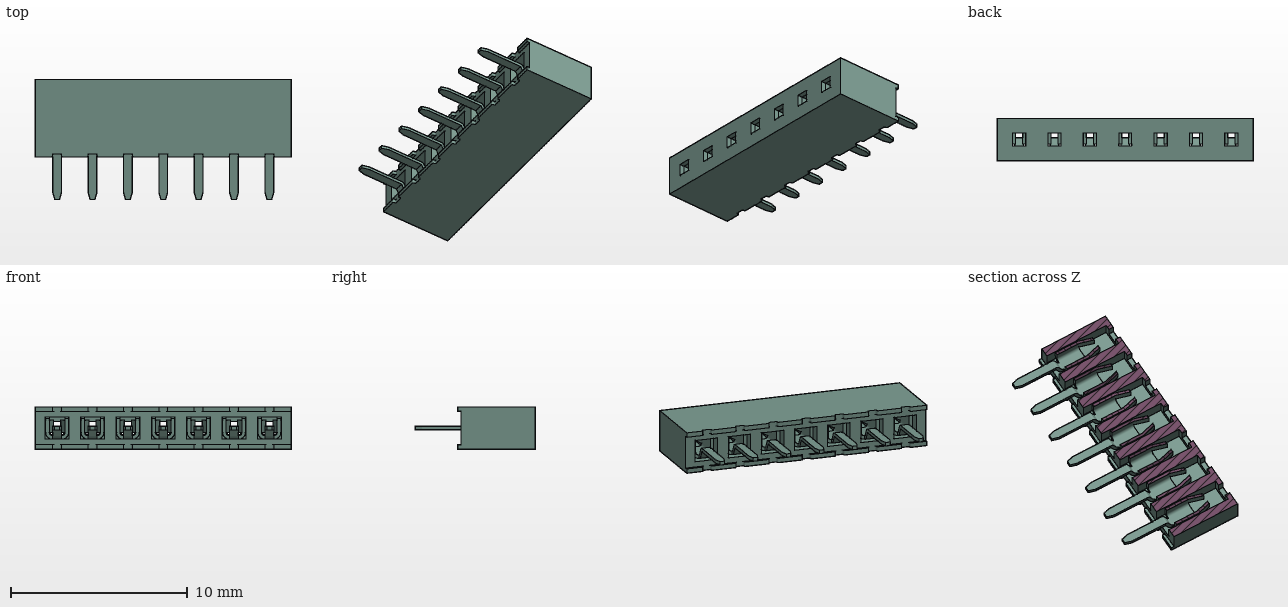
import cadquery as cq
import math


contact_count = 7
pitch = 2.0

housing_length = 14.5
housing_height = 2.4
housing_depth = 4.22
rail_depth = 0.17
rail_thickness = 0.26
notch_floor_width = 0.38
notch_radius = 0.065
cavity_width = 1.35
cavity_height = 1.26
end_wall = 0.3
entry_size = 0.72

sheet = 0.2
channel_gap = 0.03
channel_start = 0.54
channel_length = 1.45
channel_chamfer = 0.09
channel_bend_radius = 0.38
arm_length = 0.87
arm_tip_gap = 0.39
arm_top = 0.45
tail_width = 0.51
tail_reach = 2.58
tail_tip_width = 0.28
tail_taper = 0.4
tail_bend_radius = 0.33
tail_tilt = math.radians(28)

cavity_floor = -cavity_height / 2
cavity_depth = housing_depth - end_wall
channel_half = cavity_width / 2 - channel_gap
channel_inner_half = channel_half - sheet
channel_end = channel_start + channel_length


def notch_outline():
    """Plan of a rail notch: each side is an S of a concave and a convex round."""
    arc_mid = notch_radius * math.sqrt(0.5)
    floor_half = notch_floor_width / 2
    side = floor_half + notch_radius
    mouth_half = side + notch_radius
    turn = rail_depth - notch_radius
    floor_mid = (floor_half + arc_mid, -notch_radius + arc_mid)
    mouth_mid = (mouth_half - arc_mid, -turn - arc_mid)
    return (
        cq.Workplane("XY")
        .moveTo(-floor_half, 0)
        .lineTo(floor_half, 0)
        .threePointArc(floor_mid, (side, -notch_radius))
        .lineTo(side, -turn)
        .threePointArc(mouth_mid, (mouth_half, -rail_depth))
        .lineTo(-mouth_half, -rail_depth)
        .threePointArc((-mouth_mid[0], mouth_mid[1]), (-side, -turn))
        .lineTo(-side, -notch_radius)
        .threePointArc((-floor_mid[0], floor_mid[1]), (-floor_half, 0))
        .close()
    )


def block(width, y_start, y_end, height):
    """Box centred on X and Z, spanning y_start to y_end."""
    depth = y_end - y_start
    return cq.Workplane("XY").box(width, depth, height).translate((0, y_start + depth / 2, 0))


def make_housing(positions):
    body = block(housing_length, -rail_depth, housing_depth, housing_height)
    recess_height = housing_height - 2 * rail_thickness
    body = body.cut(block(housing_length, -rail_depth, 0, recess_height))
    notch = notch_outline().extrude(housing_height / 2, both=True)
    cavity = block(cavity_width, 0, cavity_depth, cavity_height)
    entry = block(entry_size, cavity_depth, housing_depth, entry_size)
    for x in positions:
        for cutter in (notch, cavity, entry):
            body = body.cut(cutter.translate((x, 0, 0)))
    return body


def channel():
    """U-shaped channel lying on the cavity floor, open at the top."""
    outer = (
        cq.Workplane("XY")
        .box(2 * channel_half, channel_length, cavity_height)
        .edges("|Y and <Z")
        .fillet(channel_bend_radius)
    )
    inner = (
        cq.Workplane("XY")
        .box(2 * channel_inner_half, channel_length, cavity_height)
        .edges("|Y and <Z")
        .fillet(channel_bend_radius - sheet)
        .translate((0, 0, sheet))
    )
    bent = outer.cut(inner).faces("<Y").edges(">Z").chamfer(channel_chamfer)
    return bent.translate((0, channel_start + channel_length / 2, 0))


def spring_arm():
    """Flat arm on the +X side, leaning from the channel wall toward the contact axis."""
    tip = arm_tip_gap / 2
    arm_bottom = cavity_floor + channel_bend_radius
    return (
        cq.Workplane("XY", origin=(0, 0, arm_bottom))
        .moveTo(channel_inner_half, channel_end)
        .lineTo(tip, channel_end + arm_length)
        .lineTo(tip + sheet, channel_end + arm_length)
        .lineTo(channel_half, channel_end)
        .close()
        .extrude(arm_top - arm_bottom)
    )


def tail():
    """Strip bent up from the channel floor to mid height, then straight to a tapered tip."""
    bend_y = channel_start
    bend_z = cavity_floor + tail_bend_radius
    inner_radius = tail_bend_radius - sheet

    def on_bend(radius, angle):
        return (bend_y - radius * math.cos(angle), bend_z - radius * math.sin(angle))

    slope_foot = on_bend(tail_bend_radius, tail_tilt)
    arc_angle = (tail_tilt + math.pi / 2) / 2
    corner_z = -sheet / 2
    corner_y = slope_foot[0] - (corner_z - slope_foot[1]) * math.tan(tail_tilt)

    def around_corner(angle):
        return (corner_y + sheet * math.cos(angle), corner_z + sheet * math.sin(angle))

    strip = (
        cq.Workplane("YZ")
        .moveTo(-tail_reach, corner_z)
        .lineTo(corner_y, corner_z)
        .lineTo(*slope_foot)
        .threePointArc(on_bend(tail_bend_radius, arc_angle), (bend_y, cavity_floor))
        .lineTo(bend_y, cavity_floor + sheet)
        .threePointArc(on_bend(inner_radius, arc_angle), on_bend(inner_radius, tail_tilt))
        .lineTo(*around_corner(tail_tilt))
        .threePointArc(around_corner(arc_angle), around_corner(math.pi / 2))
        .lineTo(-tail_reach, sheet / 2)
        .close()
        .extrude(tail_width / 2, both=True)
    )
    shoulder_y = -tail_reach + tail_taper
    plan = (
        cq.Workplane("XY")
        .moveTo(-tail_tip_width / 2, -tail_reach)
        .lineTo(tail_tip_width / 2, -tail_reach)
        .lineTo(tail_width / 2, shoulder_y)
        .lineTo(tail_width / 2, channel_start)
        .lineTo(-tail_width / 2, channel_start)
        .lineTo(-tail_width / 2, shoulder_y)
        .close()
        .extrude(cavity_height, both=True)
    )
    return strip.intersect(plan)


def make_contact(x):
    arm = spring_arm()
    contact = channel().union(arm).union(arm.mirror("YZ")).union(tail())
    return contact.translate((x, 0, 0))


positions = [(i - (contact_count - 1) / 2) * pitch for i in range(contact_count)]
housing = make_housing(positions)
contacts = [make_contact(x) for x in positions]

result = cq.Compound.makeCompound([housing.val(), *[c.val() for c in contacts]])